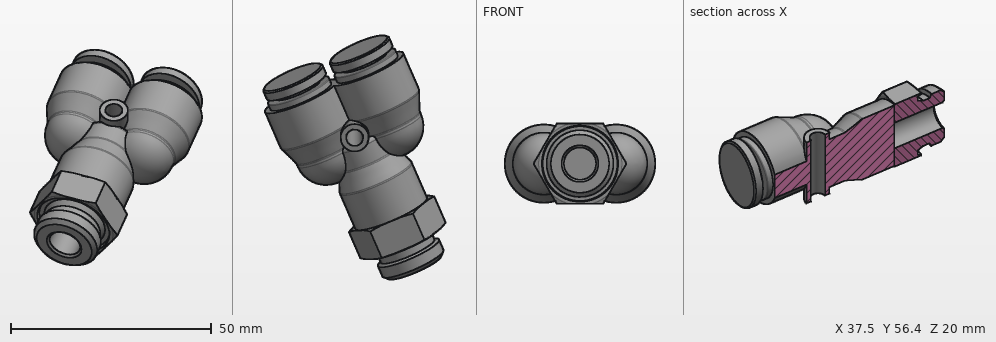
import cadquery as cq
import math


TOTAL_LENGTH = 56.4
PORT_SPACING = 18.0
BODY_DIAMETER = 19.5
WAIST_DIAMETER = 15.45
BLEND_RADIUS = 1.0

BRANCH_SPHERE_Y = 35.1
BRANCH_CONE_SMALL_Y = 35.9
BRANCH_CONE_LARGE_Y = 41.05
BRANCH_END_Y = 51.05
STEM_CONE_LARGE_Y = 24.8
STEM_CONE_SMALL_Y = 30.0
STEM_TIP_Y = 35.9

BOSS_Y = 38.0
BOSS_DIAMETER = 7.0
BOSS_HOLE_DIAMETER = 4.2

HEX_ACROSS_FLATS = 20.0
HEX_START_Y = 7.0
HEX_END_Y = 14.95
HEX_FACE_DIAMETER = 20.7
HEX_CHAMFER_HEIGHT = 0.35
THREAD_DIAMETER = 16.65
THREAD_START_CHAMFER = 1.05
THREAD_TOP_Y = 3.95
NECK_DIAMETER = 14.6
NECK_START_Y = 4.45
NECK_END_Y = 6.45
NECK_ROOT_DIAMETER = 16.0
RECESS_RIM_DIAMETER = 19.0
RECESS_FLOOR_DIAMETER = 18.55
RECESS_DEPTH = 1.0
BORE_DIAMETER = 8.0
BORE_MOUTH_DIAMETER = 9.15

COLLAR_DIAMETER = 16.5
COLLAR_END_Y = 52.75
COLLAR_ROUNDING = 0.15
SLEEVE_NECK_DIAMETER = 11.7
FLANGE_START_Y = 53.9
FLANGE_WIDTH = 16.15
FLANGE_HEIGHT = 18.65
FLANGE_CHAMFER = 0.4

PORT_POSITIONS = [-PORT_SPACING / 2, PORT_SPACING / 2]
BODY_RADIUS = BODY_DIAMETER / 2
WAIST_RADIUS = WAIST_DIAMETER / 2
SELECTION_MARGIN = 0.05


def revolve_about_y(outline):
    """Turn a closed XY outline a full turn about the Y axis."""
    return outline.revolve(360, (0, 0, 0), (0, 1, 0))


def cylinder_along_y(diameter, start_y, end_y):
    """Round bar on the Y axis between two stations."""
    circle = cq.Workplane("XZ", origin=(0, start_y, 0)).circle(diameter / 2)
    return circle.extrude(start_y - end_y)


def ring_edge(radius, y):
    """Selector for the circular edge of the given radius around the Y axis at one station."""
    reach = radius + SELECTION_MARGIN
    return cq.selectors.BoxSelector(
        (-reach, y - SELECTION_MARGIN, -reach),
        (reach, y + SELECTION_MARGIN, reach),
        boundingbox=True,
    )


def make_arm(end_y, cone_large_y, cone_small_y, tip_y):
    """Large cylinder, cone and flat-ended small cylinder, blended where the cone begins and ends."""
    arm = revolve_about_y(
        cq.Workplane("XY").polyline([
            (0, end_y),
            (BODY_RADIUS, end_y),
            (BODY_RADIUS, cone_large_y),
            (WAIST_RADIUS, cone_small_y),
            (WAIST_RADIUS, tip_y),
            (0, tip_y),
        ]).close()
    )
    arm = arm.edges(ring_edge(BODY_RADIUS, cone_large_y)).fillet(BLEND_RADIUS)
    return arm.edges(ring_edge(WAIST_RADIUS, cone_small_y)).fillet(BLEND_RADIUS)


def make_stem():
    """Central arm whose inner tip has a rounded rim."""
    stem = make_arm(HEX_END_Y, STEM_CONE_LARGE_Y, STEM_CONE_SMALL_Y, STEM_TIP_Y)
    return stem.edges(ring_edge(WAIST_RADIUS, STEM_TIP_Y)).fillet(BLEND_RADIUS)


def make_branch():
    """Port arm closed by a spherical dome."""
    arm = make_arm(BRANCH_END_Y, BRANCH_CONE_LARGE_Y, BRANCH_CONE_SMALL_Y, BRANCH_SPHERE_Y)
    dome_mid = WAIST_RADIUS * math.sqrt(0.5)
    dome = revolve_about_y(
        cq.Workplane("XY")
        .moveTo(0, BRANCH_SPHERE_Y)
        .lineTo(WAIST_RADIUS, BRANCH_SPHERE_Y)
        .threePointArc(
            (dome_mid, BRANCH_SPHERE_Y - dome_mid),
            (0, BRANCH_SPHERE_Y - WAIST_RADIUS),
        )
        .close()
    )
    return arm.union(dome)


def make_housing():
    """Stem, two parallel branches and the mounting boss, merged into one body."""
    housing = make_stem()
    branch = make_branch()
    for port_x in PORT_POSITIONS:
        housing = housing.union(branch.translate((port_x, 0, 0)))
    boss_plane = cq.Workplane("XY", origin=(0, BOSS_Y, -BODY_RADIUS))
    boss = boss_plane.circle(BOSS_DIAMETER / 2).extrude(BODY_DIAMETER)
    hole = boss_plane.circle(BOSS_HOLE_DIAMETER / 2).extrude(BODY_DIAMETER)
    return housing.union(boss).cut(hole)


def make_hexagon():
    """Hexagon with flats facing +Z and -Z and both ends chamfered at the corners."""
    corner_radius = HEX_ACROSS_FLATS / math.sqrt(3)
    hexagon = (
        cq.Workplane("XZ", origin=(0, HEX_START_Y, 0))
        .polygon(6, 2 * corner_radius)
        .extrude(HEX_START_Y - HEX_END_Y)
    )
    chamfer_envelope = revolve_about_y(
        cq.Workplane("XY").polyline([
            (0, HEX_START_Y),
            (HEX_FACE_DIAMETER / 2, HEX_START_Y),
            (corner_radius, HEX_START_Y + HEX_CHAMFER_HEIGHT),
            (corner_radius, HEX_END_Y - HEX_CHAMFER_HEIGHT),
            (HEX_FACE_DIAMETER / 2, HEX_END_Y),
            (0, HEX_END_Y),
        ]).close()
    )
    return hexagon.intersect(chamfer_envelope)


def make_adapter():
    """Hexagon with a recessed seal seat, undercut neck, threaded end and central bore."""
    floor_y = HEX_START_Y + RECESS_DEPTH
    recess = revolve_about_y(
        cq.Workplane("XY").polyline([
            (0, HEX_START_Y),
            (RECESS_RIM_DIAMETER / 2, HEX_START_Y),
            (RECESS_FLOOR_DIAMETER / 2, floor_y),
            (0, floor_y),
        ]).close()
    )
    spigot = revolve_about_y(
        cq.Workplane("XY").polyline([
            (0, 0),
            (THREAD_DIAMETER / 2 - THREAD_START_CHAMFER, 0),
            (THREAD_DIAMETER / 2, THREAD_START_CHAMFER),
            (THREAD_DIAMETER / 2, THREAD_TOP_Y),
            (NECK_DIAMETER / 2, NECK_START_Y),
            (NECK_DIAMETER / 2, NECK_END_Y),
            (NECK_ROOT_DIAMETER / 2, floor_y),
            (0, floor_y),
        ]).close()
    )
    bore = cylinder_along_y(BORE_DIAMETER, 0, HEX_END_Y)
    mouth_depth = (BORE_MOUTH_DIAMETER - BORE_DIAMETER) / 2
    bore_mouth = revolve_about_y(
        cq.Workplane("XY").polyline([
            (0, 0),
            (BORE_MOUTH_DIAMETER / 2, 0),
            (BORE_DIAMETER / 2, mouth_depth),
            (0, mouth_depth),
        ]).close()
    )
    return make_hexagon().cut(recess).union(spigot).cut(bore).cut(bore_mouth)


def make_collar(port_x):
    """Guide collar seated on the end face of a branch."""
    collar = cylinder_along_y(COLLAR_DIAMETER, BRANCH_END_Y, COLLAR_END_Y)
    return collar.faces(">Y").edges().fillet(COLLAR_ROUNDING).translate((port_x, 0, 0))


def make_sleeve(port_x):
    """Release sleeve: a round neck carrying an oval push flange."""
    neck = cylinder_along_y(SLEEVE_NECK_DIAMETER, COLLAR_END_Y, FLANGE_START_Y)
    flange = (
        cq.Workplane("XZ", origin=(0, FLANGE_START_Y, 0))
        .ellipse(FLANGE_WIDTH / 2, FLANGE_HEIGHT / 2)
        .extrude(FLANGE_START_Y - TOTAL_LENGTH)
        .faces(">Y").edges().chamfer(FLANGE_CHAMFER)
    )
    return neck.union(flange).translate((port_x, 0, 0))


housing = make_housing()
adapter = make_adapter()
collars = [make_collar(port_x) for port_x in PORT_POSITIONS]
sleeves = [make_sleeve(port_x) for port_x in PORT_POSITIONS]

result = cq.Compound.makeCompound([
    housing.val(),
    adapter.val(),
    *[collar.val() for collar in collars],
    *[sleeve.val() for sleeve in sleeves],
])